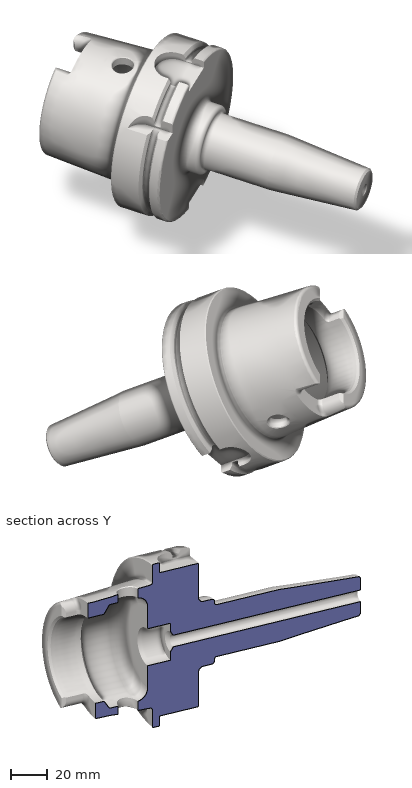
import cadquery as cq
import math

TOTAL_LENGTH = 180.0
COS_45 = math.sqrt(0.5)

TAPER_LARGE_R = 75.5 / 2
TAPER_SLOPE = 0.05
TAPER_END = 47.7
SHANK_SMALL_R = TAPER_LARGE_R - TAPER_SLOPE * TAPER_END
MOUTH_ROUND = 1.8
COLLAR_R = 37.8
COLLAR_START = 48.2
COLLAR_ROOT_ROUND = 1.3

FLANGE_R = 100.0 / 2
FLANGE_START = 50.0
FLANGE_END = 79.0
FLANGE_FRONT_CHAMFER = 0.5
FLANGE_REAR_ROUND = 1.0

GROOVE_CENTER = 70.0
GROOVE_FLOOR_R = 45.7
GROOVE_STRAIGHT_R = 47.9
GROOVE_HALF_WIDTH = 2.0
GROOVE_FLANK_ANGLE = 30.0
GROOVE_ROUND = 0.5

NECK_R = 40.0 / 2
NECK_END = 89.1
NECK_ROOT_ROUND = 2.9
NECK_EDGE_ROUND = 2.2
BODY_R = 32.0 / 2
BODY_ROOT_ROUND = 0.9
NOSE_START = 129.0
NOSE_TAPER_ANGLE = 4.5
NOSE_END_R = BODY_R - (TOTAL_LENGTH - NOSE_START) * math.tan(math.radians(NOSE_TAPER_ANGLE))
NOSE_CHAMFER = 1.0

BORE_R = 53.0 / 2
BORE_CHAMFER = 1.3
BORE_END = 20.0
UNDERCUT_R = 63.0 / 2
UNDERCUT_START = 23.4
FLOOR_X = 47.0
FLOOR_ROUND = 6.7
COOLANT_BORE_R = 22.3 / 2
COOLANT_BORE_DEPTH = 14.4
FUNNEL_R = 12.0 / 2
THROUGH_R = 6.8 / 2
FUNNEL_ANGLE = 59.0

DRIVE_SLOT_HALF_WIDTH = 9.9
DRIVE_SLOT_DEPTH_TOP = 9.9
DRIVE_SLOT_DEPTH_BOTTOM = 14.5
DRIVE_SLOT_SHOULDER_Z = 32.2
DRIVE_SLOT_EDGE_ROUND = 5.2
DRIVE_SLOT_FLOOR_ROUND = 2.0
DRIVE_SLOT_MOUTH_CHAMFER = 1.8

ACCESS_HOLE_X = 35.0
ACCESS_HOLE_R = 12.0 / 2
ACCESS_HOLE_CHAMFER = 0.45

KEY_SLOT_HALF_WIDTH = 9.9
KEY_SLOT_START = 54.7
KEY_SLOT_FLOOR_Z = 44.0
NOTCH_WALL = 31.7


def turned_body():
    """Outside of the holder, revolved around X."""
    flank_rise = FLANGE_R - GROOVE_STRAIGHT_R
    groove_top = GROOVE_HALF_WIDTH + flank_rise * math.tan(math.radians(GROOVE_FLANK_ANGLE))

    def round_corner(profile, center_x, center_r, radius, start, end):
        """Quarter arc about a center; angles in degrees, counterclockwise from +X."""
        def at(angle):
            a = math.radians(angle)
            return (center_x + radius * math.cos(a), center_r + radius * math.sin(a))
        return profile.lineTo(*at(start)).threePointArc(at((start + end) / 2), at(end))

    p = cq.Workplane("XY").moveTo(0, 0)
    p = round_corner(p, MOUTH_ROUND, SHANK_SMALL_R - MOUTH_ROUND + TAPER_SLOPE * MOUTH_ROUND,
                     MOUTH_ROUND, 180, 90)
    p = p.lineTo(TAPER_END, TAPER_LARGE_R)
    p = p.lineTo(COLLAR_START, COLLAR_R)
    p = round_corner(p, FLANGE_START - COLLAR_ROOT_ROUND, COLLAR_R + COLLAR_ROOT_ROUND,
                     COLLAR_ROOT_ROUND, 270, 360)
    p = p.lineTo(FLANGE_START, FLANGE_R - FLANGE_FRONT_CHAMFER)
    p = p.lineTo(FLANGE_START + FLANGE_FRONT_CHAMFER, FLANGE_R)
    p = p.lineTo(GROOVE_CENTER - groove_top, FLANGE_R)
    p = p.lineTo(GROOVE_CENTER - GROOVE_HALF_WIDTH, GROOVE_STRAIGHT_R)
    p = round_corner(p, GROOVE_CENTER - GROOVE_HALF_WIDTH + GROOVE_ROUND, GROOVE_FLOOR_R + GROOVE_ROUND,
                     GROOVE_ROUND, 180, 270)
    p = round_corner(p, GROOVE_CENTER + GROOVE_HALF_WIDTH - GROOVE_ROUND, GROOVE_FLOOR_R + GROOVE_ROUND,
                     GROOVE_ROUND, 270, 360)
    p = p.lineTo(GROOVE_CENTER + GROOVE_HALF_WIDTH, GROOVE_STRAIGHT_R)
    p = p.lineTo(GROOVE_CENTER + groove_top, FLANGE_R)
    p = round_corner(p, FLANGE_END - FLANGE_REAR_ROUND, FLANGE_R - FLANGE_REAR_ROUND,
                     FLANGE_REAR_ROUND, 90, 0)
    p = round_corner(p, FLANGE_END + NECK_ROOT_ROUND, NECK_R + NECK_ROOT_ROUND, NECK_ROOT_ROUND, 180, 270)
    p = round_corner(p, NECK_END - NECK_EDGE_ROUND, NECK_R - NECK_EDGE_ROUND, NECK_EDGE_ROUND, 90, 0)
    p = round_corner(p, NECK_END + BODY_ROOT_ROUND, BODY_R + BODY_ROOT_ROUND, BODY_ROOT_ROUND, 180, 270)
    p = p.lineTo(NOSE_START, BODY_R)
    p = p.lineTo(TOTAL_LENGTH - NOSE_CHAMFER,
                 NOSE_END_R + NOSE_CHAMFER * math.tan(math.radians(NOSE_TAPER_ANGLE)))
    p = p.lineTo(TOTAL_LENGTH, NOSE_END_R - NOSE_CHAMFER)
    p = p.lineTo(TOTAL_LENGTH, 0)
    return p.close().revolve(360, (0, 0, 0), (1, 0, 0))


def cavity():
    """Undercut shank bore, coolant bore and the hole through the whole holder."""
    coolant_floor = FLOOR_X + COOLANT_BORE_DEPTH
    funnel_length = (FUNNEL_R - THROUGH_R) / math.tan(math.radians(FUNNEL_ANGLE))
    round_r = UNDERCUT_R - FLOOR_ROUND
    round_x = FLOOR_X - FLOOR_ROUND
    offset = FLOOR_ROUND * COS_45
    undercut_bore = [
        (0, 0),
        (0, BORE_R + BORE_CHAMFER),
        (BORE_CHAMFER, BORE_R),
        (BORE_END, BORE_R),
        (UNDERCUT_START, UNDERCUT_R),
        (round_x, UNDERCUT_R),
    ]
    coolant_passage = [
        (FLOOR_X, COOLANT_BORE_R),
        (coolant_floor, COOLANT_BORE_R),
        (coolant_floor, FUNNEL_R),
        (coolant_floor + funnel_length, THROUGH_R),
        (TOTAL_LENGTH, THROUGH_R),
        (TOTAL_LENGTH, 0),
    ]
    return (
        cq.Workplane("XY")
        .polyline(undercut_bore)
        .threePointArc((round_x + offset, round_r + offset), (FLOOR_X, round_r))
        .polyline(coolant_passage, includeCurrent=True)
        .close()
        .revolve(360, (0, 0, 0), (1, 0, 0))
    )


def drive_slot(depth):
    """Cutter for the drive slot on the +Z side: it flares to the full width above its walls."""
    half = DRIVE_SLOT_HALF_WIDTH
    flare = half + DRIVE_SLOT_EDGE_ROUND
    arc_z = DRIVE_SLOT_SHOULDER_Z - DRIVE_SLOT_EDGE_ROUND
    reach = FLANGE_R
    offset = DRIVE_SLOT_EDGE_ROUND * COS_45
    cutter = (
        cq.Workplane("YZ")
        .moveTo(-half, 0)
        .lineTo(half, 0)
        .lineTo(half, arc_z)
        .threePointArc((flare - offset, arc_z + offset), (flare, DRIVE_SLOT_SHOULDER_Z))
        .lineTo(reach, DRIVE_SLOT_SHOULDER_Z)
        .lineTo(reach, reach)
        .lineTo(-reach, reach)
        .lineTo(-reach, DRIVE_SLOT_SHOULDER_Z)
        .lineTo(-flare, DRIVE_SLOT_SHOULDER_Z)
        .threePointArc((-flare + offset, arc_z + offset), (-half, arc_z))
        .close()
        .extrude(depth)
        .faces(">X")
        .edges("not(<Z or >Z or <Y or >Y)")
        .fillet(DRIVE_SLOT_FLOOR_ROUND)
    )
    mouth = half + DRIVE_SLOT_MOUTH_CHAMFER
    chamfer = (
        cq.Workplane("XY")
        .moveTo(0, -mouth)
        .lineTo(0, mouth)
        .lineTo(DRIVE_SLOT_MOUTH_CHAMFER, half)
        .lineTo(DRIVE_SLOT_MOUTH_CHAMFER, -half)
        .close()
        .extrude(reach)
    )
    return cutter.union(chamfer)


def access_hole():
    """Cutter for the hole through both sides of the shank."""
    return (
        cq.Workplane("XY")
        .workplane(offset=-FLANGE_R)
        .center(ACCESS_HOLE_X, 0)
        .circle(ACCESS_HOLE_R)
        .extrude(2 * FLANGE_R)
    )


def access_hole_rims():
    """Selects the hole's edges on the outside of the shank, above and below."""
    low = (ACCESS_HOLE_X - 2 * ACCESS_HOLE_R, -2 * ACCESS_HOLE_R)
    high = (ACCESS_HOLE_X + 2 * ACCESS_HOLE_R, 2 * ACCESS_HOLE_R)
    above = cq.selectors.BoxSelector((*low, SHANK_SMALL_R), (*high, FLANGE_R))
    below = cq.selectors.BoxSelector((*low, -FLANGE_R), (*high, -SHANK_SMALL_R))
    return above + below


def key_slot(center_y, floor_z):
    """Cutter for a flange slot milled along Z, with a full-radius end toward the shank."""
    half = KEY_SLOT_HALF_WIDTH
    arc_x = KEY_SLOT_START + half
    return (
        cq.Workplane("XY")
        .workplane(offset=floor_z)
        .moveTo(FLANGE_END, center_y - half)
        .lineTo(arc_x, center_y - half)
        .threePointArc((KEY_SLOT_START, center_y), (arc_x, center_y + half))
        .lineTo(FLANGE_END, center_y + half)
        .close()
        .extrude(FLANGE_R)
    )


result = turned_body().cut(cavity())
result = result.cut(drive_slot(DRIVE_SLOT_DEPTH_TOP))
result = result.cut(drive_slot(DRIVE_SLOT_DEPTH_BOTTOM).rotate((0, 0, 0), (1, 0, 0), 180))
result = result.cut(access_hole())
result = result.edges(access_hole_rims()).chamfer(ACCESS_HOLE_CHAMFER)

top_key_slot = key_slot(0, KEY_SLOT_FLOOR_Z)
result = result.cut(top_key_slot)
result = result.cut(top_key_slot.mirror("XY"))
result = result.cut(key_slot(-NOTCH_WALL - KEY_SLOT_HALF_WIDTH, NOTCH_WALL))